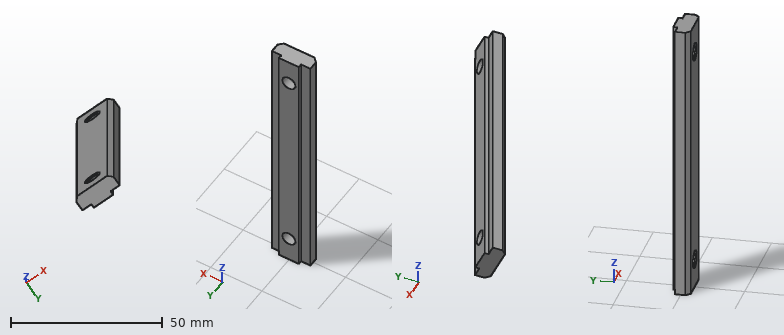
import cadquery as cq

width = 15.0
thickness = 6.5
length = 95.0

rib_width = 7.8
rib_height = 1.4
edge_chamfer = 1.5

hole_diameter = 5.0
countersink_diameter = 6.0
countersink_angle = 90.0
hole_end_distance = 10.0

base_thickness = thickness - rib_height
hole_offset = length / 2 - hole_end_distance


def make_bar():
    """Base with its two front edges chamfered, plus the rib behind it."""
    base = (
        cq.Workplane("XY")
        .box(width, base_thickness, length, centered=(True, False, True))
        .edges("|Z and <Y")
        .chamfer(edge_chamfer)
    )
    rib = cq.Workplane("XY").box(rib_width, thickness, length, centered=(True, False, True))
    return base.union(rib)


def drill_holes(bar):
    """Countersunk through holes near both ends, drilled from the front face."""
    return (
        bar.faces("<Y")
        .workplane(origin=(0, 0, 0))
        .pushPoints([(0, -hole_offset), (0, hole_offset)])
        .cskHole(hole_diameter, countersink_diameter, countersink_angle)
    )


result = drill_holes(make_bar())